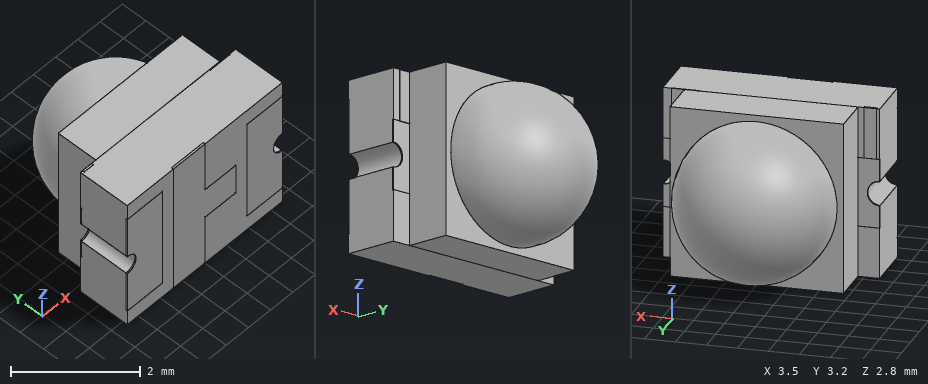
import cadquery as cq

board_length = 3.5
board_height = 2.8
board_depth = 1.0
notch_radius = 0.2

lens_base_width = 2.8
lens_base_depth = 0.8
dome_radius = 1.3
dome_center_rise = 0.098

pad_width = 0.798
pad_height = 2.15
foil_thickness = 0.025

mark_thickness = 0.04
mark_stripe_left = -0.71
mark_stripe_right = 0.007
mark_tab_right = 0.695
mark_tab_height = 0.645

contact_width = 0.58
contact_height = 1.135

left_strip_width = 0.205
left_strip_edge_gap = 0.05
left_strip_thickness = 0.04
right_strip_width = 0.44
right_strip_edge_gap = 0.14
right_strip_thickness = 0.015

half_length = board_length / 2
half_height = board_height / 2
solder_face = 0.0
lens_face = solder_face + board_depth
dome_base = lens_face + lens_base_depth
dome_center = dome_base + dome_center_rise
strip_bottom = contact_height / 2
sides = (-1, 1)


def block(x_min, x_max, y_min, y_max, z_min, z_max):
    """Box given by its limits along each axis."""
    return cq.Workplane("XY").box(
        x_max - x_min, y_max - y_min, z_max - z_min, centered=False
    ).translate((x_min, y_min, z_min))


def cut_notches(body):
    """Remove the half-round notches in the two ends of the board."""
    for side in sides:
        notch_start = cq.Vector(side * half_length, solder_face, 0)
        notch = cq.Solid.makeCylinder(notch_radius, board_depth, notch_start, cq.Vector(0, 1, 0))
        body = body.cut(cq.Workplane(notch))
    return body


def make_end_foil(side, width, height, y_min):
    """Thin rectangular foil at one end of the board, notched with the board."""
    inner_end = side * (half_length - width)
    outer_end = side * half_length
    foil = block(
        min(inner_end, outer_end), max(inner_end, outer_end),
        y_min, y_min + foil_thickness,
        -height / 2, height / 2,
    )
    return cut_notches(foil)


def make_solder_pad(side):
    return make_end_foil(side, pad_width, pad_height, solder_face)


def make_lens_side_contact(side):
    return make_end_foil(side, contact_width, contact_height, lens_face - foil_thickness)


def make_strip(side, edge_gap, width, thickness):
    """Thin strip set into the lens face, from a contact up to the top edge of the board."""
    outer_edge = side * (half_length - edge_gap)
    inner_edge = outer_edge - side * width
    return block(
        min(inner_edge, outer_edge), max(inner_edge, outer_edge),
        lens_face - thickness, lens_face,
        strip_bottom, half_height,
    )


def make_polarity_mark():
    """Full-height stripe on the solder face with a tab pointing to +X."""
    mark_back = solder_face + mark_thickness
    stripe = block(mark_stripe_left, mark_stripe_right, solder_face, mark_back, -half_height, half_height)
    tab = block(
        mark_stripe_right, mark_tab_right,
        solder_face, mark_back,
        -mark_tab_height / 2, mark_tab_height / 2,
    )
    return stripe.union(tab)


def make_board(inlays):
    """Notched board with a matching recess for every inlaid body."""
    body = block(-half_length, half_length, solder_face, lens_face, -half_height, half_height)
    body = cut_notches(body)
    for inlay in inlays:
        body = body.cut(inlay)
    return body


def make_lens():
    """Rectangular base carrying a spherical dome cut off slightly below its equator."""
    base = block(
        -lens_base_width / 2, lens_base_width / 2,
        lens_face, dome_base,
        -half_height, half_height,
    )
    sphere = cq.Workplane("XY").sphere(dome_radius).translate((0, dome_center, 0))
    dome = sphere.intersect(
        block(-dome_radius, dome_radius, dome_base, dome_center + dome_radius, -dome_radius, dome_radius)
    )
    return base.union(dome)


solder_pads = [make_solder_pad(side) for side in sides]
contacts = [make_lens_side_contact(side) for side in sides]
left_strip = make_strip(-1, left_strip_edge_gap, left_strip_width, left_strip_thickness)
right_strip = make_strip(1, right_strip_edge_gap, right_strip_width, right_strip_thickness)
polarity_mark = make_polarity_mark()
inlaid_bodies = [*solder_pads, *contacts, left_strip, right_strip, polarity_mark]
board = make_board(inlaid_bodies)
lens = make_lens()

result = cq.Compound.makeCompound([body.solids().val() for body in [board, lens, *inlaid_bodies]])